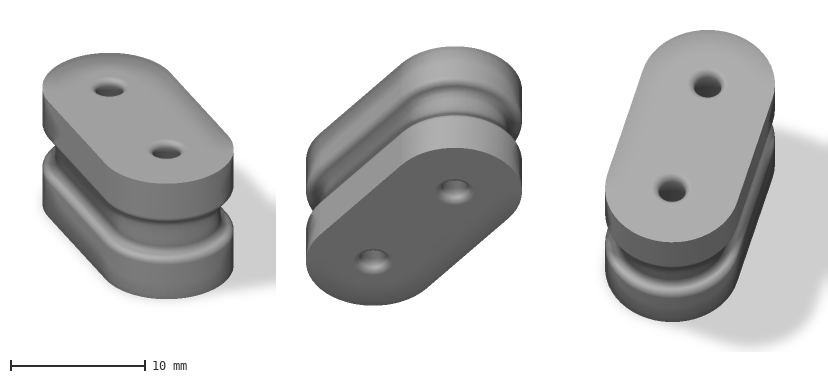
import cadquery as cq

length = 20.0
width = 10.0
height = 10.0
end_radius = width / 2
center_distance = length - width

neck_height = 2.0
groove_depth = 1.0
round_radius = groove_depth / 2
neck_radius = end_radius - groove_depth
half_neck = neck_height / 2

hole_diameter = 2.0
mouth_radius = 0.5


def half_section():
    """Radial section from the axis to the outer wall, in the XZ plane."""
    middle_radius = neck_radius + round_radius
    middle_z = half_neck + round_radius
    outer_z = half_neck + 2 * round_radius
    return (
        cq.Workplane("XZ")
        .moveTo(0, -height / 2)
        .lineTo(end_radius, -height / 2)
        .lineTo(end_radius, -outer_z)
        .radiusArc((middle_radius, -middle_z), -round_radius)
        .radiusArc((neck_radius, -half_neck), round_radius)
        .lineTo(neck_radius, half_neck)
        .radiusArc((middle_radius, middle_z), round_radius)
        .radiusArc((end_radius, outer_z), -round_radius)
        .lineTo(end_radius, height / 2)
        .lineTo(0, height / 2)
        .close()
    )


def grooved_body():
    """Two revolved ends joined by a straight middle of the same section."""
    end = half_section().revolve(360, (0, 0, 0), (0, 1, 0))
    half_middle = (
        half_section()
        .extrude(center_distance / 2, both=True)
        .rotate((0, 0, 0), (0, 0, 1), 90)
    )
    middle = half_middle.union(half_middle.mirror("XZ"))
    body = middle
    for side in (-1, 1):
        body = body.union(end.translate((side * center_distance / 2, 0, 0)))
    return body.clean()


def hole_cutter():
    """Revolved hole whose mouths flare tangent to the flat faces."""
    hole_radius = hole_diameter / 2
    flare_z = height / 2 - mouth_radius
    return (
        cq.Workplane("XZ")
        .moveTo(0, -height / 2)
        .lineTo(hole_radius + mouth_radius, -height / 2)
        .radiusArc((hole_radius, -flare_z), mouth_radius)
        .lineTo(hole_radius, flare_z)
        .radiusArc((hole_radius + mouth_radius, height / 2), mouth_radius)
        .lineTo(0, height / 2)
        .close()
        .revolve(360, (0, 0, 0), (0, 1, 0))
    )


result = grooved_body()
for side in (-1, 1):
    result = result.cut(hole_cutter().translate((side * center_distance / 2, 0, 0)))